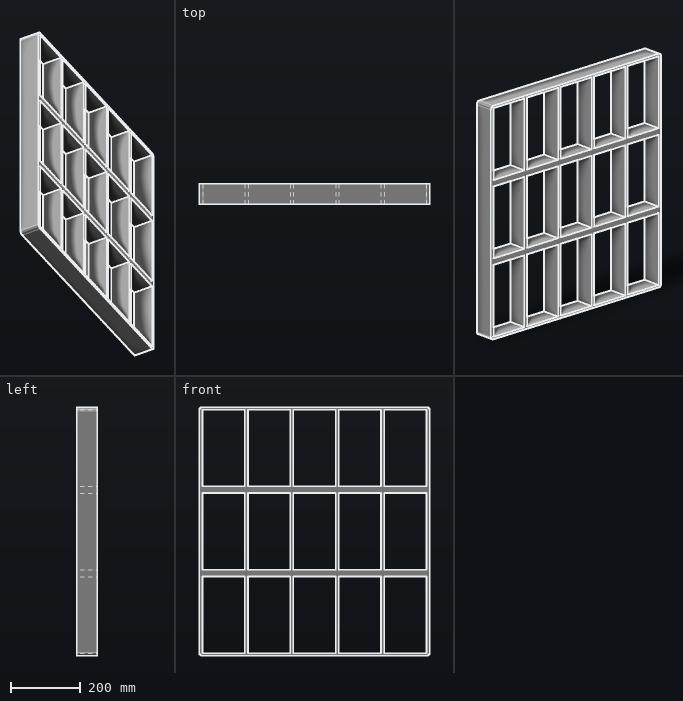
import cadquery as cq

width = 662.5
depth = 60.0
height = 714.0
corner_radius = 10.0

columns = 5
rows = 3
side_wall = 10.0
end_wall = 8.0
upright_width = 10.0
crossbar_height = 20.0

window_width = (width - 2 * side_wall - (columns - 1) * upright_width) / columns
window_height = (height - 2 * end_wall - (rows - 1) * crossbar_height) / rows


def make_frame():
    """Solid slab centred on the origin, with its four upright-face corners rounded."""
    return cq.Workplane("XY").box(width, depth, height).edges("|Y").fillet(corner_radius)


def make_windows():
    """Grid of blocks, one for each window, running through the full depth."""
    return (
        cq.Workplane("XZ")
        .rarray(window_width + upright_width, window_height + crossbar_height, columns, rows)
        .rect(window_width, window_height)
        .extrude(depth, both=True)
    )


result = make_frame().cut(make_windows())